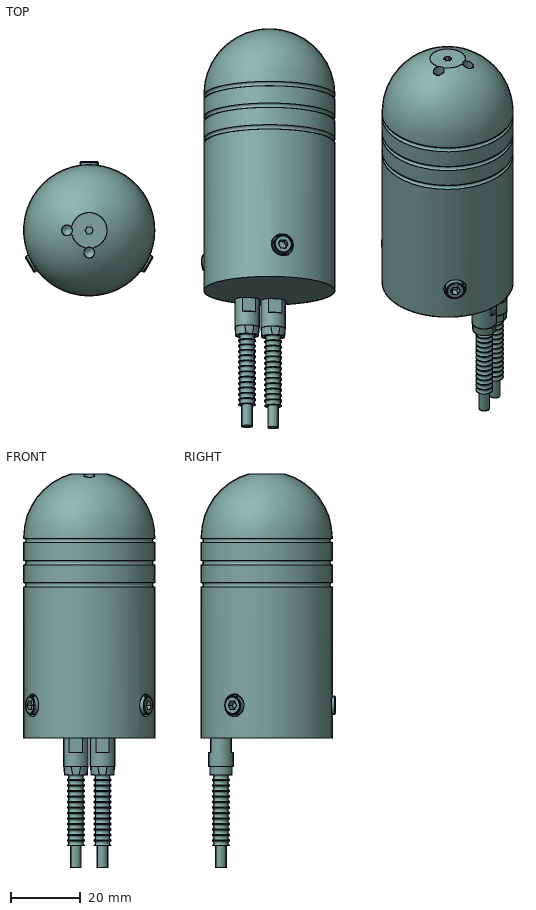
import cadquery as cq
import math

housing_diameter = 37.59
overall_depth = 38.48
overall_height = 112.77
cable_assembly_length = 37.1

housing_radius = housing_diameter / 2
housing_height = overall_height - cable_assembly_length
top_flat_radius = 10.16 / 2
dome_height = math.sqrt(housing_radius**2 - top_flat_radius**2)
dome_base_z = housing_height - dome_height

housing_groove_count = 3
housing_groove_pitch = 6.35
housing_groove_width = 1.27
housing_groove_depth = housing_groove_width / 2
first_groove_drop = 1.0

spanner_hole_radius = 3.05 / 2
spanner_hole_offset = 6.35
spanner_hole_depth = 3.0
drill_point_angle = 118
top_socket_across_flats = 1.98
top_socket_depth = 1.5

screw_angles = (90, 210, 330)
screw_z = 9.4
counterbore_radius = 6.35 / 2
counterbore_floor = 17.2
screw_head_radius = 5.21 / 2
screw_head_chamfer = 0.25
screw_head_top = overall_depth - housing_radius
screw_socket_across_flats = 2.38
screw_socket_depth = 2.4

cable_x_positions = (-3.81, 3.81)
cable_y = -13.1
gland_diameter = 7.06
gland_length = 8.1
gland_flat_length = 4.06
gland_across_flats = 5.92
nut_top_radius = 6.9 / 2
nut_bottom_radius = 6.6 / 2
nut_length = 2.4
nut_across_flats = 6.35
relief_radius = 4.83 / 2
relief_root_radius = 4.09 / 2
relief_length = 20.3
relief_groove_count = 13
relief_rib_width = 0.2
relief_rib_count = relief_groove_count - 1
relief_groove_width = (relief_length - relief_rib_count * relief_rib_width) / relief_groove_count
relief_pitch = relief_groove_width + relief_rib_width
cable_radius = 3.05 / 2


def revolve_about_z(profile):
    """Revolves a closed profile drawn in the XZ plane about the Z axis."""
    return profile.revolve(360, (0, 0, 0), (0, 1, 0))


def make_round_groove(outer_radius, depth, width, center_z):
    """Ring that cuts a groove with a circular-arc section into a cylinder."""
    profile = (
        cq.Workplane("XZ")
        .moveTo(outer_radius, center_z - width / 2)
        .threePointArc(
            (outer_radius - depth, center_z),
            (outer_radius, center_z + width / 2),
        )
        .lineTo(outer_radius + depth, center_z + width / 2)
        .lineTo(outer_radius + depth, center_z - width / 2)
        .close()
    )
    return revolve_about_z(profile)


def make_hex_socket(across_flats, top_z, depth):
    """Hexagonal prism going down from top_z, with two corners along X."""
    corner_diameter = across_flats / math.cos(math.pi / 6)
    return cq.Workplane("XY", origin=(0, 0, top_z)).polygon(6, corner_diameter).extrude(-depth)


def make_domed_cylinder():
    mid_angle = math.acos(top_flat_radius / housing_radius) / 2
    dome_mid_point = (
        housing_radius * math.cos(mid_angle),
        dome_base_z + housing_radius * math.sin(mid_angle),
    )
    profile = (
        cq.Workplane("XZ")
        .lineTo(housing_radius, 0)
        .lineTo(housing_radius, dome_base_z)
        .threePointArc(dome_mid_point, (top_flat_radius, housing_height))
        .lineTo(0, housing_height)
        .close()
    )
    return revolve_about_z(profile)


def make_spanner_hole(x, y):
    """Drilled blind hole with a conical bottom."""
    point_depth = spanner_hole_radius / math.tan(math.radians(drill_point_angle / 2))
    profile = (
        cq.Workplane("XZ")
        .lineTo(spanner_hole_radius, 0)
        .lineTo(spanner_hole_radius, -spanner_hole_depth)
        .lineTo(0, -spanner_hole_depth - point_depth)
        .close()
    )
    return revolve_about_z(profile).translate((x, y, housing_height))


def make_counterbore():
    bore_length = screw_head_top - counterbore_floor
    return (
        cq.Workplane("XY", origin=(0, 0, counterbore_floor))
        .circle(counterbore_radius)
        .extrude(bore_length)
    )


def make_screw_head():
    head = (
        cq.Workplane("XY", origin=(0, 0, counterbore_floor))
        .circle(screw_head_radius)
        .extrude(screw_head_top - counterbore_floor)
        .faces(">Z")
        .chamfer(screw_head_chamfer)
    )
    socket = make_hex_socket(screw_socket_across_flats, screw_head_top, screw_socket_depth)
    socket = socket.rotate((0, 0, 0), (0, 0, 1), 30)
    return head.cut(socket)


def point_outward(shape, angle):
    """Turns a shape built along Z to point out of the housing at a screw position."""
    return (
        shape.rotate((0, 0, 0), (0, 1, 0), 90)
        .rotate((0, 0, 0), (0, 0, 1), angle)
        .translate((0, 0, screw_z))
    )


def make_housing():
    body = make_domed_cylinder()
    for i in range(housing_groove_count):
        groove_z = dome_base_z - first_groove_drop - i * housing_groove_pitch
        body = body.cut(
            make_round_groove(housing_radius, housing_groove_depth, housing_groove_width, groove_z)
        )
    for x, y in ((-spanner_hole_offset, 0), (0, -spanner_hole_offset)):
        body = body.cut(make_spanner_hole(x, y))
    body = body.cut(make_hex_socket(top_socket_across_flats, housing_height, top_socket_depth))
    for angle in screw_angles:
        body = body.cut(point_outward(make_counterbore(), angle))
        body = body.union(point_outward(make_screw_head(), angle))
    return body


def make_gland_body():
    """Round body with two wrench flats next to the housing."""
    body = cq.Workplane("XY").circle(gland_diameter / 2).extrude(-gland_length)
    flats_cutter = (
        cq.Workplane("XY")
        .rect(2 * gland_diameter, 2 * gland_diameter)
        .rect(2 * gland_diameter, gland_across_flats)
        .extrude(-gland_flat_length)
    )
    return body.cut(flats_cutter)


def make_nut(top_z):
    """Slightly tapered nut with two parallel flats."""
    profile = (
        cq.Workplane("XZ", origin=(0, 0, top_z))
        .lineTo(nut_top_radius, 0)
        .lineTo(nut_bottom_radius, -nut_length)
        .lineTo(0, -nut_length)
        .close()
    )
    slab = (
        cq.Workplane("XY", origin=(0, 0, top_z))
        .rect(2 * gland_diameter, nut_across_flats)
        .extrude(-nut_length)
    )
    return revolve_about_z(profile).intersect(slab)


def make_strain_relief(top_z):
    """Ribbed sleeve: a row of round grooves with narrow ribs between them."""
    sleeve = cq.Workplane("XY", origin=(0, 0, top_z)).circle(relief_radius).extrude(-relief_length)
    groove_depth = relief_radius - relief_root_radius
    for i in range(relief_groove_count):
        groove_z = top_z - relief_groove_width / 2 - i * relief_pitch
        sleeve = sleeve.cut(
            make_round_groove(relief_radius, groove_depth, relief_groove_width, groove_z)
        )
    return sleeve


def make_cable_assembly():
    """One cable with its fittings, hanging down from Z = 0."""
    nut_top_z = -gland_length
    relief_top_z = nut_top_z - nut_length
    cable_top_z = relief_top_z - relief_length
    cable_length = cable_assembly_length + cable_top_z
    cable = (
        cq.Workplane("XY", origin=(0, 0, cable_top_z))
        .circle(cable_radius)
        .extrude(-cable_length)
    )
    return (
        make_gland_body()
        .union(make_nut(nut_top_z))
        .union(make_strain_relief(relief_top_z))
        .union(cable)
    )


housing = make_housing().solids()
cable_assemblies = []
for cable_x in cable_x_positions:
    assembly = make_cable_assembly().translate((cable_x, cable_y, 0))
    cable_assemblies.append(assembly.solids().val())

result = cq.Compound.makeCompound([housing.val(), *cable_assemblies])